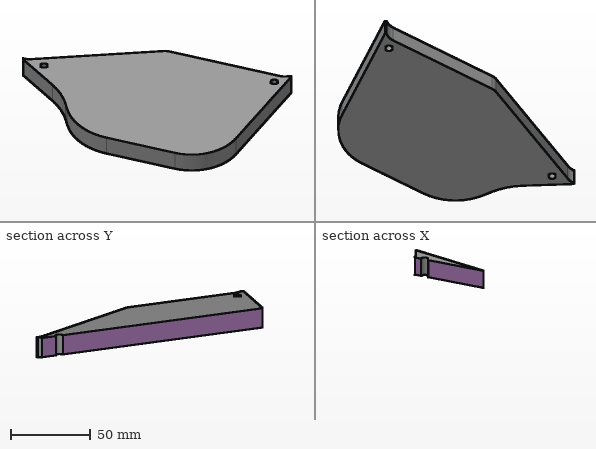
import cadquery as cq

thickness = 13.0
hole_diameter = 4.5
hole_centers = [(15.0, 55.2), (157.3, 88.2)]

length = 165.8
width = 97.3
top_edge_y = 95.0

left_tip_lower = (0.5, 56.5)
left_tip_upper = (0, 57.7)
right_tip_lower = (length, 96.8)
right_tip_upper = (165.0, width)

flare_radius = 10.8
left_flare_start = (5.6, 58.9)
right_flare_start = (158.5, top_edge_y)

elbow = (35.3, 32.5)
elbow_radius = 48.0
bottom_left = (54.4, 0)
bottom_left_radius = 38.1
bottom_right = (148.9, 0)
bottom_right_radius = 32.0
shoulder = (82.9, top_edge_y)
shoulder_radius = 8.3


def make_sharp_plate():
    """Extrude the outline with its main corners still sharp."""
    return (
        cq.Workplane("XY")
        .moveTo(*left_tip_lower)
        .lineTo(*elbow)
        .lineTo(*bottom_left)
        .lineTo(*bottom_right)
        .lineTo(*right_tip_lower)
        .lineTo(*right_tip_upper)
        .radiusArc(right_flare_start, flare_radius)
        .lineTo(*shoulder)
        .lineTo(*left_flare_start)
        .radiusArc(left_tip_upper, flare_radius)
        .close()
        .extrude(thickness)
    )


def round_corner(plate, corner, radius):
    """Round the vertical edge nearest to the given outline corner."""
    edge_middle = (*corner, thickness / 2)
    return plate.edges(cq.selectors.NearestToPointSelector(edge_middle)).fillet(radius)


plate = make_sharp_plate()
for corner, radius in [
    (elbow, elbow_radius),
    (bottom_left, bottom_left_radius),
    (bottom_right, bottom_right_radius),
    (shoulder, shoulder_radius),
]:
    plate = round_corner(plate, corner, radius)

holes = (
    cq.Workplane("XY")
    .pushPoints(hole_centers)
    .circle(hole_diameter / 2)
    .extrude(thickness)
)
result = plate.cut(holes)